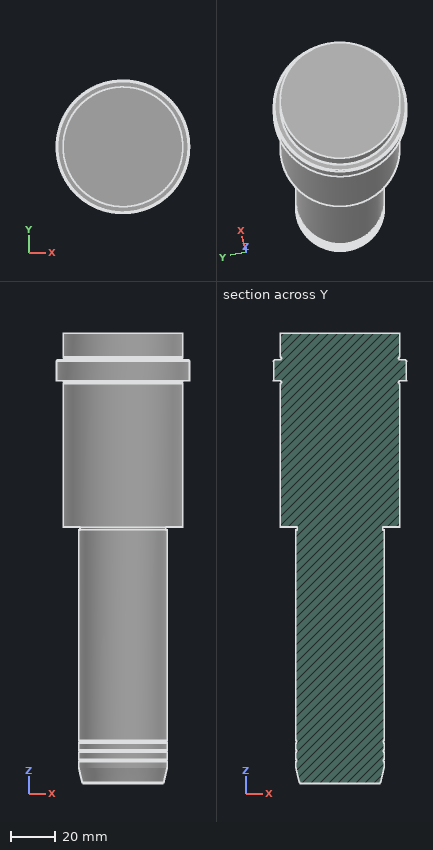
import cadquery as cq

total_height = 203.0
flange_diameter = 60.0
body_diameter = 54.0
shaft_diameter = 40.0

shoulder_height = 115.5
flange_bottom = 181.5
flange_top = 191.0
flange_chamfer = 0.6

undercut_width = 1.2
undercut_depth = 0.6

taper_height = 7.1
taper_end_diameter = 37.0
end_chamfer = 0.6

groove_count = 3
lowest_groove_height = 10.4
groove_pitch = 4.3
groove_width = 1.2
groove_depth = 0.5


def cylinder(diameter, bottom, top):
    """Upright cylinder on the part axis."""
    return cq.Workplane("XY").workplane(offset=bottom).circle(diameter / 2).extrude(top - bottom)


def v_ring_cutter(diameter, depth, center_height, width):
    """Ring of triangular section that cuts a V groove into a cylinder of the given diameter."""
    radius = diameter / 2
    return (
        cq.Workplane("XZ")
        .polyline(
            [
                (radius, center_height - width / 2),
                (radius - depth, center_height),
                (radius, center_height + width / 2),
            ]
        )
        .close()
        .revolve(360, (0, 0, 0), (0, 1, 0))
    )


shaft_radius = shaft_diameter / 2
taper_end_radius = taper_end_diameter / 2
shaft = (
    cq.Workplane("XZ")
    .polyline(
        [
            (0, 0),
            (taper_end_radius - end_chamfer, 0),
            (taper_end_radius, end_chamfer),
            (shaft_radius, taper_height),
            (shaft_radius, shoulder_height),
            (0, shoulder_height),
        ]
    )
    .close()
    .revolve(360, (0, 0, 0), (0, 1, 0))
)

body = cylinder(body_diameter, shoulder_height, total_height)
flange = cylinder(flange_diameter, flange_bottom, flange_top).faces(">Z").edges().chamfer(flange_chamfer)
result = shaft.union(body).union(flange)

neck_cutter = (
    cq.Workplane("XY")
    .workplane(offset=shoulder_height - undercut_width)
    .circle(shaft_radius)
    .circle(shaft_radius - undercut_depth)
    .extrude(undercut_width)
)
result = result.cut(neck_cutter)

for center_height in [flange_top + undercut_width / 2, flange_bottom - undercut_width / 2]:
    result = result.cut(v_ring_cutter(body_diameter, undercut_depth, center_height, undercut_width))

for index in range(groove_count):
    groove_height = lowest_groove_height + index * groove_pitch
    result = result.cut(v_ring_cutter(shaft_diameter, groove_depth, groove_height, groove_width))